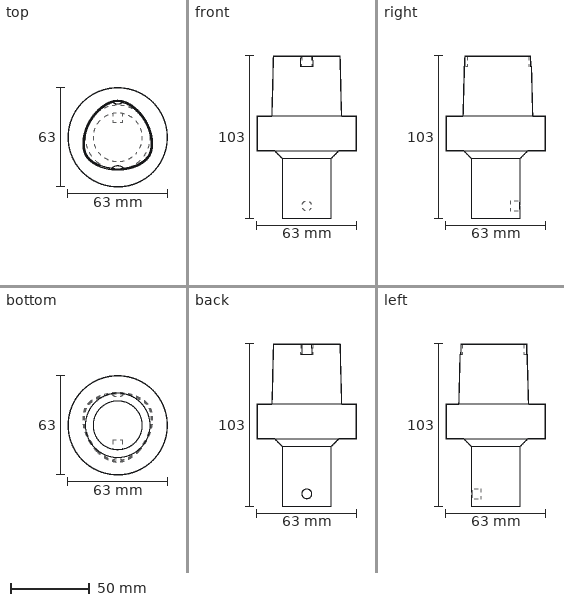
import cadquery as cq
import math

TOTAL_LENGTH = 103.0
FLANGE_DIAMETER = 63.0
FLANGE_HEIGHT = 22.0
SHANK_DIAMETER = 31.0
SHANK_LENGTH = 38.0
COLLAR_HEIGHT = 4.9

TAPER_BASE_WIDTH = 44.3
TAPER_RATIO = 1 / 20
LOBE_OFFSET = 1.3
OUTLINE_POINTS = 48

GROOVE_RADIUS = 5.2
GROOVE_LENGTH = 6.6
FRONT_GROOVE_DEPTH = 1.9
BACK_GROOVE_DEPTH = 1.4

SIDE_HOLE_DIAMETER = 6.2
SIDE_HOLE_DEPTH = 6.2
SIDE_HOLE_HEIGHT = 8.0

flange_bottom = SHANK_LENGTH + COLLAR_HEIGHT
flange_top = flange_bottom + FLANGE_HEIGHT
taper_height = TOTAL_LENGTH - flange_top
taper_top_width = TAPER_BASE_WIDTH - TAPER_RATIO * taper_height


def lobed_point(angle, width):
    """Point of the constant-width outline whose outward normal is at this angle from +Y."""
    reach = width / 2 + LOBE_OFFSET * math.cos(3 * angle)
    slope = -3 * LOBE_OFFSET * math.sin(3 * angle)
    x = reach * math.sin(angle) + slope * math.cos(angle)
    y = reach * math.cos(angle) - slope * math.sin(angle)
    return (x, y)


def lobed_outline(width):
    step = 2 * math.pi / OUTLINE_POINTS
    return [lobed_point(i * step, width) for i in range(OUTLINE_POINTS)]


def turned_body():
    shank_radius = SHANK_DIAMETER / 2
    collar_radius = shank_radius + COLLAR_HEIGHT
    flange_radius = FLANGE_DIAMETER / 2
    half_profile = [
        (0, 0),
        (shank_radius, 0),
        (shank_radius, SHANK_LENGTH),
        (collar_radius, flange_bottom),
        (flange_radius, flange_bottom),
        (flange_radius, flange_top),
        (0, flange_top),
    ]
    return cq.Workplane("XZ").polyline(half_profile).close().revolve(360, (0, 0), (0, 1))


def polygon_taper():
    return (
        cq.Workplane("XY", origin=(0, 0, flange_top))
        .spline(lobed_outline(TAPER_BASE_WIDTH), periodic=True)
        .close()
        .workplane(offset=taper_height)
        .spline(lobed_outline(taper_top_width), periodic=True)
        .close()
        .loft(ruled=True)
    )


def groove_cutter(side, depth):
    """Vertical cylinder cutting into the +Y (side = 1) or -Y (side = -1) face of the taper."""
    top_face_reach = taper_top_width / 2 + side * LOBE_OFFSET
    axis_y = side * (top_face_reach - depth + GROOVE_RADIUS)
    return (
        cq.Workplane("XY", origin=(0, axis_y, TOTAL_LENGTH - GROOVE_LENGTH))
        .circle(GROOVE_RADIUS)
        .extrude(GROOVE_LENGTH)
    )


def side_hole_cutter():
    shank_radius = SHANK_DIAMETER / 2
    return (
        cq.Workplane("XZ", origin=(0, shank_radius, SIDE_HOLE_HEIGHT))
        .circle(SIDE_HOLE_DIAMETER / 2)
        .extrude(SIDE_HOLE_DEPTH)
    )


taper = polygon_taper()
taper = taper.cut(groove_cutter(-1, FRONT_GROOVE_DEPTH))
taper = taper.cut(groove_cutter(1, BACK_GROOVE_DEPTH))

result = turned_body().cut(side_hole_cutter()).union(taper)